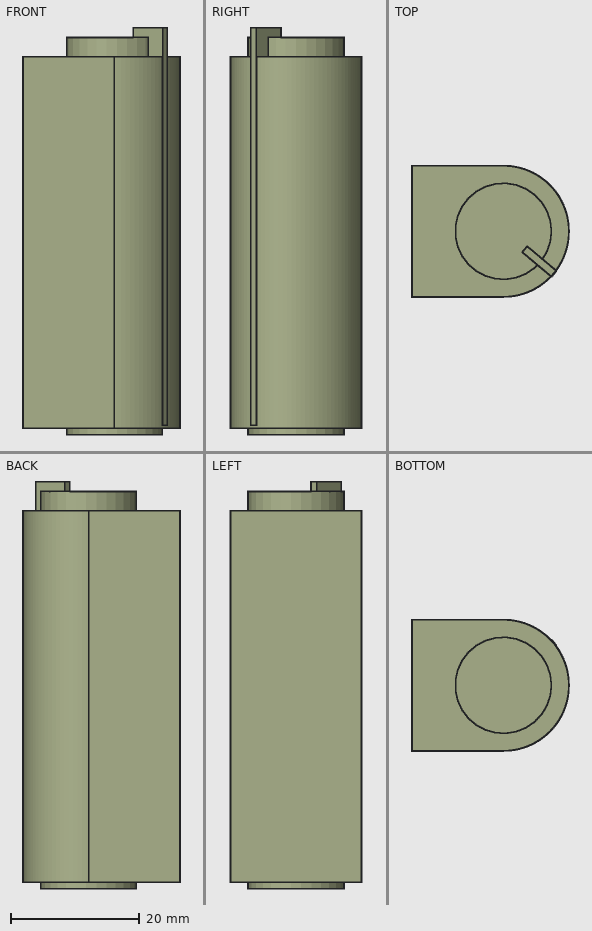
import cadquery as cq
import math

body_width = 20.5
body_radius = body_width / 2
flat_length = 14.25
body_height = 58.0
body_facets = 90

shaft_radius = 7.5
shaft_facets = 29
shaft_above = 3.0
shaft_below = 1.0

key_angle = -40.0
key_width = 1.2
key_inner = 4.35
key_outer = 10.32
key_bottom = 0.5
key_rise = 1.5

shaft_top = body_height + shaft_above


def prism(radius, facets, bottom, height):
    """Regular prism about Z with its first corner on +X."""
    step = 2 * math.pi / facets
    corners = [
        (radius * math.cos(i * step), radius * math.sin(i * step))
        for i in range(facets)
    ]
    return cq.Workplane("XY").workplane(offset=bottom).polyline(corners).close().extrude(height)


def make_body():
    block = cq.Workplane("XY").box(
        flat_length, body_width, body_height, centered=(False, True, False)
    )
    block = block.translate((-flat_length, 0, 0))
    return block.union(prism(body_radius, body_facets, 0, body_height))


def make_shaft():
    return prism(shaft_radius, shaft_facets, -shaft_below, shaft_below + shaft_top)


def make_key():
    length = key_outer - key_inner
    height = shaft_top + key_rise - key_bottom
    blade = cq.Workplane("XY").box(length, key_width, height, centered=(False, True, False))
    blade = blade.translate((key_inner, 0, key_bottom))
    return blade.rotate((0, 0, 0), (0, 0, 1), key_angle)


result = make_body().union(make_shaft()).union(make_key())